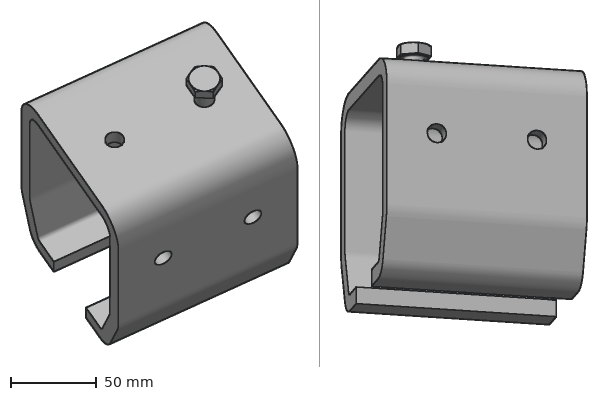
import cadquery as cq
import math

BRACKET_WIDTH = 115.0
BRACKET_LENGTH = 120.0
BRACKET_HEIGHT = 132.5
WALL = 10.0
SLOT_WIDTH = 38.1
TAPER_ANGLE = 20.0
TAPER_START_DEPTH = 97.0
WALL_BEND_RADIUS = 20.0
LIP_BEND_RADIUS = 13.1

HOLE_SPACING = 60.1
TOP_HOLE_DIAMETER = 11.1
SIDE_HOLE_DIAMETER = 11.3
SIDE_HOLE_DEPTH = 48.3

BOLT_Y = HOLE_SPACING / 2
BOLT_TOP = 20.0
SHANK_DIAMETER = 12.0
SHANK_PROTRUSION = 2.6
SHANK_CHAMFER_LENGTH = 1.4
SHANK_CHAMFER_DEPTH = 0.9
HEAD_ACROSS_FLATS = 18.3
HEAD_HEIGHT = 6.7
HEAD_CHAMFER_ANGLE = 30.0
WASHER_FACE_DIAMETER = 16.6
WASHER_FACE_HEIGHT = 0.6
UNDERHEAD_FILLET = 0.6


def channel_prism(inset, wall_radius, lip_radius):
    """Solid prism whose section is the outer channel outline moved inwards by inset, corners rounded."""
    taper = math.radians(TAPER_ANGLE)
    half_width = BRACKET_WIDTH / 2 - inset
    bottom_z = inset - BRACKET_HEIGHT
    bend_z = -TAPER_START_DEPTH + inset * math.tan(taper / 2)
    half_bottom = half_width - (bend_z - bottom_z) * math.tan(taper)
    outline = [
        (-half_width, -inset),
        (half_width, -inset),
        (half_width, bend_z),
        (half_bottom, bottom_z),
        (-half_bottom, bottom_z),
        (-half_width, bend_z),
    ]
    prism = cq.Workplane("XZ").polyline(outline).close().extrude(BRACKET_LENGTH / 2, both=True)
    wall_bends = prism.edges("|Y").filter(lambda edge: edge.Center().z > bend_z - WALL)
    prism = wall_bends.fillet(wall_radius)
    return prism.faces("<Z").edges("|Y").fillet(lip_radius)


def make_bracket():
    outside = channel_prism(0, WALL_BEND_RADIUS, LIP_BEND_RADIUS)
    inside = channel_prism(WALL, WALL_BEND_RADIUS - WALL, LIP_BEND_RADIUS - WALL)
    bracket = outside.cut(inside)

    slot = cq.Workplane("XY").box(SLOT_WIDTH, BRACKET_LENGTH, 2 * WALL)
    bracket = bracket.cut(slot.translate((0, 0, -BRACKET_HEIGHT)))

    side_holes = (
        cq.Workplane("YZ")
        .pushPoints([(side * HOLE_SPACING / 2, -SIDE_HOLE_DEPTH) for side in (-1, 1)])
        .circle(SIDE_HOLE_DIAMETER / 2)
        .extrude(BRACKET_WIDTH, both=True)
    )

    open_hole = cq.Workplane("XY").center(0, -HOLE_SPACING / 2).circle(TOP_HOLE_DIAMETER / 2).extrude(-WALL)
    bolt_hole = cq.Workplane("XY").center(0, BOLT_Y).circle(SHANK_DIAMETER / 2).extrude(-WALL)
    return bracket.cut(side_holes).cut(open_hole).cut(bolt_hole)


def make_bolt_head(underside_z):
    """Hexagonal head with its upper corners turned off by a cone."""
    across_corners = HEAD_ACROSS_FLATS / math.cos(math.pi / 6)
    corner_radius = across_corners / 2
    flat_radius = HEAD_ACROSS_FLATS / 2
    corner_drop = (corner_radius - flat_radius) * math.tan(math.radians(HEAD_CHAMFER_ANGLE))
    hexagon = cq.Workplane("XY", origin=(0, 0, underside_z)).polygon(6, across_corners).extrude(HEAD_HEIGHT)
    turned_blank = (
        cq.Workplane("XZ")
        .moveTo(0, underside_z)
        .lineTo(corner_radius, underside_z)
        .lineTo(corner_radius, BOLT_TOP - corner_drop)
        .lineTo(flat_radius, BOLT_TOP)
        .lineTo(0, BOLT_TOP)
        .close()
        .revolve(360, (0, 0), (0, 1))
    )
    return hexagon.intersect(turned_blank)


def make_bolt():
    underside_z = BOLT_TOP - HEAD_HEIGHT
    washer_face = (
        cq.Workplane("XY", origin=(0, 0, underside_z))
        .circle(WASHER_FACE_DIAMETER / 2)
        .extrude(-WASHER_FACE_HEIGHT)
    )
    shank_length = underside_z + WALL + SHANK_PROTRUSION
    shank = (
        cq.Workplane("XY", origin=(0, 0, underside_z))
        .circle(SHANK_DIAMETER / 2)
        .extrude(-shank_length)
        .faces("<Z")
        .chamfer(SHANK_CHAMFER_LENGTH, SHANK_CHAMFER_DEPTH)
    )
    bolt = make_bolt_head(underside_z).union(washer_face).union(shank)
    bearing_face_z = underside_z - WASHER_FACE_HEIGHT
    neck_box = cq.selectors.BoxSelector(
        (-SHANK_DIAMETER, -SHANK_DIAMETER, bearing_face_z - UNDERHEAD_FILLET / 2),
        (SHANK_DIAMETER, SHANK_DIAMETER, bearing_face_z + UNDERHEAD_FILLET / 2),
    )
    neck = bolt.edges(neck_box).edges(cq.selectors.RadiusNthSelector(0))
    bolt = neck.fillet(UNDERHEAD_FILLET)
    return bolt.translate((0, BOLT_Y, 0))


bracket = make_bracket()
bolt = make_bolt()
result = cq.Compound.makeCompound([bracket.val(), bolt.val()])